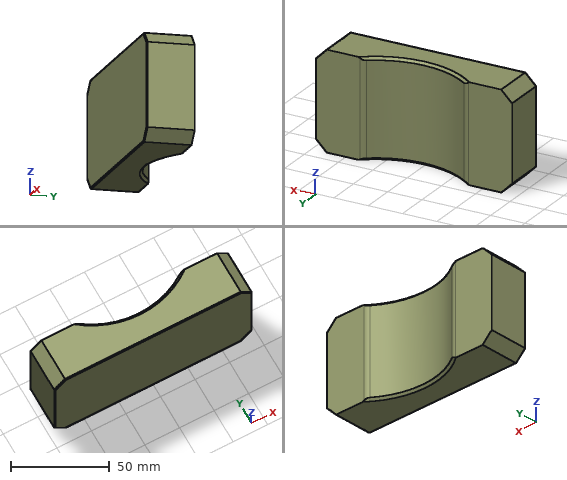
import cadquery as cq
import math

length = 114.3
thickness = 25.4
height = 57.2
corner_chamfer = 6.3
front_chamfer = 0.6

recess_half_width = 32.2
recess_depth = 11.4
rim_chamfer = 1.5
mouth_fillet = 5.7

back_y = thickness / 2
rim_radius = (recess_half_width**2 + recess_depth**2) / (2 * recess_depth)
wall_radius = rim_radius - rim_chamfer
recess_center_y = back_y - recess_depth + rim_radius
wall_half_width = math.sqrt(wall_radius**2 - (recess_center_y - back_y) ** 2)


def make_block():
    """Block with clipped corners and a small bevel around the front face."""
    block = cq.Workplane("XY").box(length, thickness, height)
    return block.edges("|Y").chamfer(corner_chamfer).faces("<Y").chamfer(front_chamfer)


def cut_recess(block):
    """Cylindrical recess whose mouth blends into the back face."""
    cylinder = (
        cq.Workplane("XY")
        .center(0, recess_center_y)
        .circle(wall_radius)
        .extrude(height / 2, both=True)
    )
    corner_margin = 1.1
    mouth_corners = cq.selectors.BoxSelector(
        (-wall_half_width - corner_margin, back_y - corner_margin, -height),
        (wall_half_width + corner_margin, back_y + corner_margin, height),
    )
    return block.cut(cylinder).edges("|Z").edges(mouth_corners).fillet(mouth_fillet)


def make_rim_cutter():
    """Cone that bevels the recess rim at the top face."""
    cone = cq.Solid.makeCone(
        wall_radius,
        rim_radius,
        rim_chamfer,
        pnt=cq.Vector(0, recess_center_y, height / 2 - rim_chamfer),
    )
    return cq.Workplane(obj=cone)


rim_cutter = make_rim_cutter()
result = cut_recess(make_block())
for cutter in (rim_cutter, rim_cutter.mirror("XY")):
    result = result.cut(cutter)